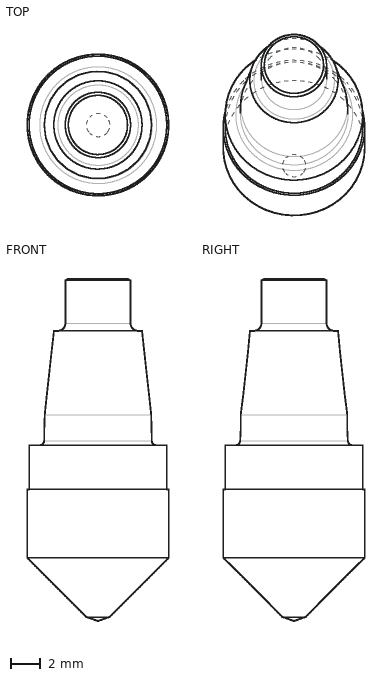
import cadquery as cq
import math

total_length = 23.0

tip_radius = 9.52 / 2
tip_top_z = 8.85
nose_radius = 0.78
nose_height = 0.28
cone_half_angle = math.radians(45)

collar_radius = 9.25 / 2
collar_height = 2.97
shank_root_radius = 3.63
shank_break_radius = 3.59
shank_break_height = 2.05
shank_top_radius = 2.97
shank_fillet = 0.3
spigot_radius = 4.4 / 2
spigot_length = 3.5
spigot_fillet = 0.5
spigot_chamfer_width = 0.2
spigot_chamfer_height = 0.12

collar_top_z = tip_top_z + collar_height
shank_break_z = collar_top_z + shank_break_height
shank_top_z = total_length - spigot_length


def revolve_about_z(profile):
    """Revolve a closed (radius, Z) profile drawn on the XZ plane about the Z axis."""
    return profile.close().revolve(360, (0, 0, 0), (0, 1, 0))


def step_edge(radius, z):
    """Select the circular edge of the given radius and height around the Z axis."""
    tolerance = 0.012
    reach = radius + tolerance
    return cq.selectors.BoxSelector(
        (-reach, -reach, z - tolerance), (reach, reach, z + tolerance), boundingbox=True
    )


def make_tip():
    """Cylindrical body with a 90 degree cone that ends in a blunter conical nose."""
    cone_top_z = nose_height + (tip_radius - nose_radius) / math.tan(cone_half_angle)

    profile = (
        cq.Workplane("XZ")
        .moveTo(0, 0)
        .lineTo(nose_radius, nose_height)
        .lineTo(tip_radius, cone_top_z)
        .lineTo(tip_radius, tip_top_z)
        .lineTo(0, tip_top_z)
    )
    return revolve_about_z(profile)


def make_holder():
    """Collar seated on the tip, with a two-stage tapered shank and a chamfered spigot."""
    profile = (
        cq.Workplane("XZ")
        .moveTo(0, tip_top_z)
        .lineTo(collar_radius, tip_top_z)
        .lineTo(collar_radius, collar_top_z)
        .lineTo(shank_root_radius, collar_top_z)
        .lineTo(shank_break_radius, shank_break_z)
        .lineTo(shank_top_radius, shank_top_z)
        .lineTo(spigot_radius, shank_top_z)
        .lineTo(spigot_radius, total_length - spigot_chamfer_height)
        .lineTo(spigot_radius - spigot_chamfer_width, total_length)
        .lineTo(0, total_length)
    )
    holder = revolve_about_z(profile)

    holder = holder.edges(step_edge(shank_root_radius, collar_top_z)).fillet(shank_fillet)
    return holder.edges(step_edge(spigot_radius, shank_top_z)).fillet(spigot_fillet)


tip = make_tip()
holder = make_holder()

result = cq.Compound.makeCompound([tip.val(), holder.val()])